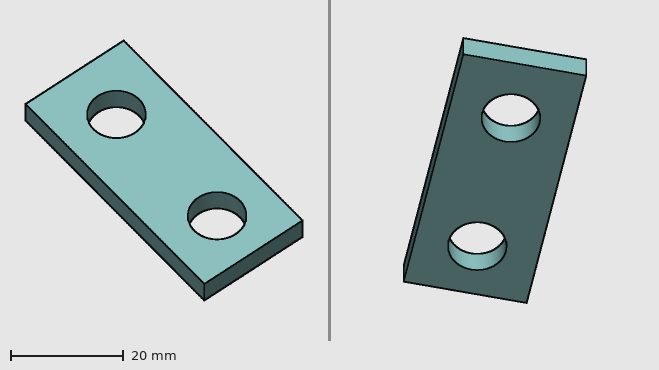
import cadquery as cq

length = 50.8
width = 22.35
thickness = 5.0

hole_diameter = 10.4
hole_spacing = 28.6
left_hole_margin = 11.9

first_hole_x = -length / 2 + left_hole_margin
hole_centres = [(first_hole_x, 0), (first_hole_x + hole_spacing, 0)]

plate = cq.Workplane("XY").box(length, width, thickness)
result = plate.faces(">Z").workplane().pushPoints(hole_centres).hole(hole_diameter)